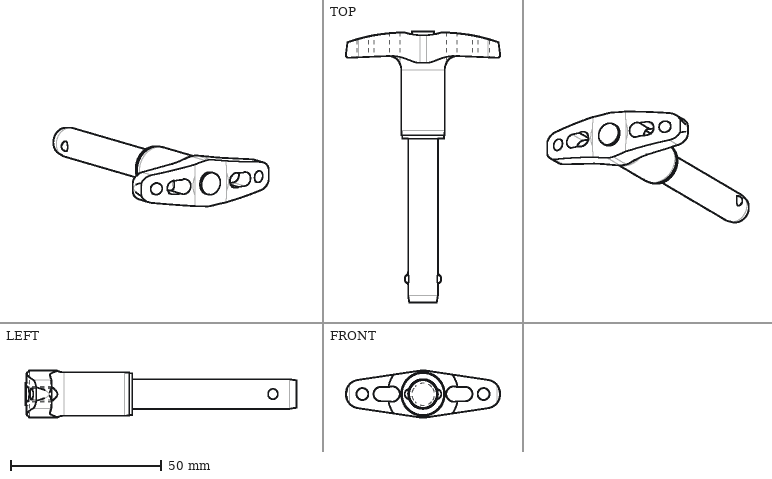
import cadquery as cq
import math


pin_radius = 5.0
pin_length = 54.7
tip_radius = 4.6
tip_taper_length = 2.4

ball_radius = 1.75
ball_reach = 6.1
ball_y = -46.8

collar_radius = 7.28
collar_nose_radius = 7.0
collar_rim_radius = 7.2
collar_nose_end_y = 1.05
collar_taper_end_y = 2.7
collar_top_y = 22.95
flare_radius = 4.5

handle_length = 51.5
handle_width = 15.79
handle_end_radius = 4.8

crest_x = 7.0
crest_y = 35.4
top_end_x = 25.2
top_end_y = 32.1
dome_mid_x = 16.5
dome_mid_y = 34.47
valley_y = 34.4
valley_half_width = 6.3
underside_mid_y = 27.95
underside_end_x = 24.5
underside_end_y = 26.9
corner_mid_x = 25.5
corner_mid_y = 27.2
corner_end_x = 25.75
corner_end_y = 27.9

lanyard_hole_radius = 1.95
lanyard_hole_x = 20.2
finger_hole_radius = 2.53
finger_hole_x = 10.3
slot_half_width = 2.33
slot_outer_x = 16.45

button_radius = 3.73
button_top_y = 35.7

clearance = 1.0

SIDES = (-1, 1)


def prism_along_y(outline, start_y, end_y):
    """Extrude an outline drawn in the XZ plane between two heights on the pin axis."""
    return outline.extrude(start_y - end_y).translate((0, start_y, 0))


def turned(profile):
    """Revolve a closed XY profile around the pin axis."""
    return profile.revolve(360, (0, 0, 0), (0, 1, 0))


def make_outline_prism():
    """Handle outline: a wide hub arc and two end arcs joined by tangent lines."""
    hub_radius = handle_width / 2
    half_length = handle_length / 2
    end_center_x = half_length - handle_end_radius
    tangent_sine = (hub_radius - handle_end_radius) / end_center_x
    tangent_cosine = math.sqrt(1 - tangent_sine**2)
    hub_x = hub_radius * tangent_sine
    hub_z = hub_radius * tangent_cosine
    end_x = end_center_x + handle_end_radius * tangent_sine
    end_z = handle_end_radius * tangent_cosine
    outline = (
        cq.Workplane("XZ")
        .moveTo(-hub_x, hub_z)
        .threePointArc((0, hub_radius), (hub_x, hub_z))
        .lineTo(end_x, end_z)
        .threePointArc((half_length, 0), (end_x, -end_z))
        .lineTo(hub_x, -hub_z)
        .threePointArc((0, -hub_radius), (-hub_x, -hub_z))
        .lineTo(-end_x, -end_z)
        .threePointArc((-half_length, 0), (-end_x, end_z))
        .close()
    )
    return prism_along_y(outline, collar_top_y, crest_y + clearance)


def make_bar():
    """Handle bar before its top is domed: sloped underside, rounded corners, leaning ends."""
    end_slope = (top_end_x - corner_end_x) / (top_end_y - corner_end_y)
    bar_top_y = crest_y + clearance
    bar_top_x = top_end_x + end_slope * (bar_top_y - top_end_y)
    half_bar = (
        cq.Workplane("XY")
        .moveTo(0, underside_mid_y)
        .lineTo(underside_end_x, underside_end_y)
        .threePointArc((corner_mid_x, corner_mid_y), (corner_end_x, corner_end_y))
        .lineTo(bar_top_x, bar_top_y)
        .lineTo(0, bar_top_y)
        .close()
        .extrude(handle_width / 2, both=True)
    )
    return half_bar.union(half_bar.mirror("YZ"))


def make_dome():
    """Turned body whose upper face crowns the handle, flat inside the crest circle."""
    edge_x = top_end_x + clearance
    edge_y = top_end_y - clearance * (dome_mid_y - top_end_y) / (top_end_x - dome_mid_x)
    return turned(
        cq.Workplane("XY")
        .moveTo(0, collar_top_y)
        .lineTo(edge_x, collar_top_y)
        .lineTo(edge_x, edge_y)
        .lineTo(top_end_x, top_end_y)
        .threePointArc((dome_mid_x, dome_mid_y), (crest_x, crest_y))
        .lineTo(0, crest_y)
        .close()
    )


def make_valley():
    """Shallow cylindrical trough across the handle under the button."""
    depth = crest_y - valley_y
    trough_radius = (valley_half_width**2 + depth**2) / (2 * depth)
    return (
        cq.Workplane("XY")
        .center(0, valley_y + trough_radius)
        .circle(trough_radius)
        .extrude(handle_width, both=True)
    )


def make_flare():
    """Concave quarter-round blend from the collar out to the underside of the handle."""
    rim_radius = collar_radius + flare_radius
    rim_y = collar_top_y + flare_radius
    arc_inset = flare_radius * (1 - math.sqrt(0.5))
    return turned(
        cq.Workplane("XY")
        .moveTo(0, collar_top_y)
        .lineTo(collar_radius, collar_top_y)
        .threePointArc((collar_radius + arc_inset, rim_y - arc_inset), (rim_radius, rim_y))
        .lineTo(rim_radius, rim_y + clearance)
        .lineTo(0, rim_y + clearance)
        .close()
    )


def make_openings(side):
    """Lanyard hole and keyhole-shaped finger slot on one side of the handle."""
    outer_arc_x = slot_outer_x - slot_half_width
    outlines = (
        cq.Workplane("XZ").center(side * lanyard_hole_x, 0).circle(lanyard_hole_radius),
        cq.Workplane("XZ").center(side * finger_hole_x, 0).circle(finger_hole_radius),
        cq.Workplane("XZ").center(side * outer_arc_x, 0).circle(slot_half_width),
        cq.Workplane("XZ")
        .center(side * (finger_hole_x + outer_arc_x) / 2, 0)
        .rect(outer_arc_x - finger_hole_x, 2 * slot_half_width),
    )
    openings = cq.Workplane("XY")
    for outline in outlines:
        openings = openings.union(prism_along_y(outline, collar_top_y, crest_y + clearance))
    return openings


def make_handle():
    handle = make_bar().intersect(make_dome()).cut(make_valley())
    handle = handle.union(make_flare()).intersect(make_outline_prism())
    for side in SIDES:
        handle = handle.cut(make_openings(side))
    return handle


def make_pin_and_collar():
    return turned(
        cq.Workplane("XY")
        .moveTo(0, -pin_length)
        .lineTo(tip_radius, -pin_length)
        .lineTo(pin_radius, tip_taper_length - pin_length)
        .lineTo(pin_radius, 0)
        .lineTo(collar_nose_radius, 0)
        .lineTo(collar_nose_radius, collar_nose_end_y)
        .lineTo(collar_rim_radius, collar_nose_end_y)
        .lineTo(collar_radius, collar_taper_end_y)
        .lineTo(collar_radius, collar_top_y)
        .lineTo(0, collar_top_y)
        .close()
    )


def make_button():
    outline = cq.Workplane("XZ").circle(button_radius)
    return prism_along_y(outline, underside_mid_y, button_top_y)


def make_ball(side):
    center_x = side * (ball_reach - ball_radius)
    return cq.Workplane("XY").sphere(ball_radius).translate((center_x, ball_y, 0))


result = make_handle().union(make_pin_and_collar()).union(make_button())
for side in SIDES:
    result = result.union(make_ball(side))